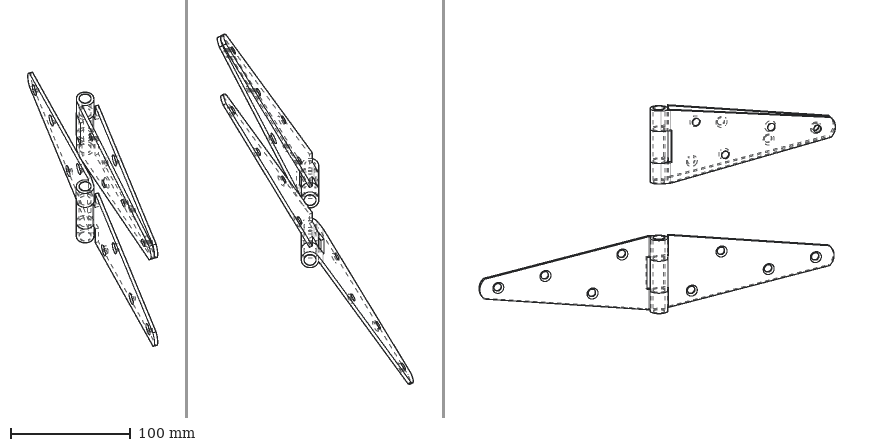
import cadquery as cq
import math


hinge_spacing = 114.0

knuckle_diameter = 14.8
knuckle_radius = knuckle_diameter / 2
through_depth = 2 * knuckle_diameter
bore_diameter = 10.0
bore_radius = bore_diameter / 2
barrel_height = 64.3
middle_knuckle_height = 28.0
end_knuckle_height = (barrel_height - middle_knuckle_height) / 2
pin_collar_height = 0.5
pin_dome_height = 1.2

sheet_thickness = 2.95
overall_length = 309.2
bend_x = knuckle_radius
bend_angle = 6.0
closed_gap_angle = 3.8
taper_angle = 9.3
tip_bulge = 4.0
end_leaf_notch_x = 8.7
middle_leaf_notch_x = 10.0

hole_points = [(30.3, -19.0), (56.3, 13.0), (97.5, -6.5), (138.5, 0)]
hole_diameter = 6.5
countersink_diameter = 9.5
countersink_angle = 90

bend_slope = math.radians(bend_angle)
tangent_x = -knuckle_radius * math.sin(bend_slope)
tangent_y = knuckle_radius * math.cos(bend_slope)
plate_back_y = tangent_y + (bend_x - tangent_x) * math.tan(bend_slope)
plate_front_y = plate_back_y - sheet_thickness

gap_slope = math.radians(closed_gap_angle)
leaf_reach = (overall_length - plate_back_y * math.sin(gap_slope)) / (1 + math.cos(gap_slope))


def slab(profile, bottom, height):
    """Extrude a closed XY profile upward from the given height."""
    return profile.extrude(height).translate((0, 0, bottom))


def sheet():
    """Bent sheet of full barrel height: strip from the knuckle, then flat plate."""
    inner_x = tangent_x + sheet_thickness * math.sin(bend_slope)
    inner_y = tangent_y - sheet_thickness * math.cos(bend_slope)
    front_bend_x = bend_x + sheet_thickness * math.tan(bend_slope / 2)
    profile = (
        cq.Workplane("XY")
        .moveTo(tangent_x, tangent_y)
        .lineTo(bend_x, plate_back_y)
        .lineTo(leaf_reach, plate_back_y)
        .lineTo(leaf_reach, plate_front_y)
        .lineTo(front_bend_x, plate_front_y)
        .lineTo(inner_x, inner_y)
        .close()
    )
    return slab(profile, -barrel_height / 2, barrel_height)


def leaf_outline():
    """Tapered outline with an arc at the tip, as a block through the sheet."""
    root_z = barrel_height / 2
    chord_x = leaf_reach - tip_bulge
    tip_z = root_z - (chord_x - bend_x) * math.tan(math.radians(taper_angle))
    return (
        cq.Workplane("XZ", origin=(0, through_depth / 2, 0))
        .moveTo(-knuckle_radius, -root_z)
        .lineTo(bend_x, -root_z)
        .lineTo(chord_x, -tip_z)
        .threePointArc((leaf_reach, 0), (chord_x, tip_z))
        .lineTo(bend_x, root_z)
        .lineTo(-knuckle_radius, root_z)
        .close()
        .extrude(through_depth)
    )


def leaf(knuckle_spans, gap_spans, notch_x):
    """One leaf: knuckles on the given (bottom, height) spans, notches on the gap spans."""
    body = sheet().intersect(leaf_outline())
    for bottom, height in gap_spans:
        notch = cq.Workplane("XY").rect(2 * notch_x, through_depth)
        body = body.cut(slab(notch, bottom, height))
    for bottom, height in knuckle_spans:
        body = body.union(slab(cq.Workplane("XY").circle(knuckle_radius), bottom, height))
    body = body.cut(slab(cq.Workplane("XY").circle(bore_radius), -barrel_height / 2, barrel_height))
    return (
        body.copyWorkplane(cq.Workplane("XZ", origin=(0, plate_front_y, 0)))
        .pushPoints(hole_points)
        .cskHole(hole_diameter, countersink_diameter, countersink_angle)
    )


middle_span = [(-middle_knuckle_height / 2, middle_knuckle_height)]
end_spans = [
    (-barrel_height / 2, end_knuckle_height),
    (middle_knuckle_height / 2, end_knuckle_height),
]


def middle_knuckle_leaf():
    """Leaf with the single middle knuckle, reaching toward +X."""
    return leaf(middle_span, end_spans, middle_leaf_notch_x)


def end_knuckle_leaf(fold_angle):
    """Leaf with the two end knuckles: toward -X when open, then swung about the axis."""
    open_leaf = leaf(end_spans, middle_span, end_leaf_notch_x).rotate((0, 0, 0), (0, 1, 0), 180)
    return open_leaf.rotate((0, 0, 0), (0, 0, 1), fold_angle)


def pin():
    """Pin filling the bore, with a domed end standing out of each end of the barrel."""
    end_z = barrel_height / 2 + pin_collar_height
    dome_z = end_z + pin_dome_height
    dome_radius = (bore_radius**2 + pin_dome_height**2) / (2 * pin_dome_height)
    mid_x = bore_radius / 2
    mid_z = dome_z - dome_radius + math.sqrt(dome_radius**2 - mid_x**2)
    return (
        cq.Workplane("XZ")
        .moveTo(0, -dome_z)
        .threePointArc((mid_x, -mid_z), (bore_radius, -end_z))
        .lineTo(bore_radius, end_z)
        .threePointArc((mid_x, mid_z), (0, dome_z))
        .close()
        .revolve(360)
    )


open_fold = 0
closed_fold = 180 + closed_gap_angle
bodies = []
for hinge_z, fold_angle in [(0, open_fold), (hinge_spacing, closed_fold)]:
    for part in (middle_knuckle_leaf(), end_knuckle_leaf(fold_angle), pin()):
        bodies.append(part.translate((0, 0, hinge_z)).solids().val())

result = cq.Compound.makeCompound(bodies)